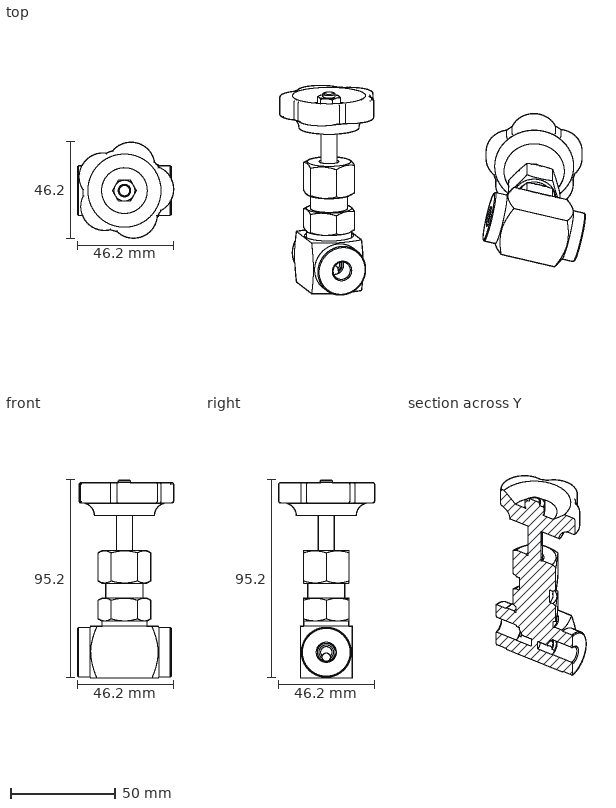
import cadquery as cq
import math


body_side = 25.0
body_length = 33.0
overall_length = 45.0
end_boss_diameter = 24.0
end_boss_chamfer = 0.5
corner_angle = 30.0
envelope_margin = 1.0

port_diameter = 8.57
port_mouth_diameter = 9.7
port_depth = 12.0
port_step_diameter = 7.0
port_step_depth = 1.5
drill_tip_diameter = 5.4
drill_tip_angle = 118.0
passage_diameter = 4.0
passage_drop = 2.4
passage_end = 2.0

body_top = body_side / 2
collar_diameter = 21.8
collar_recess_diameter = 23.5
bonnet_hex_bottom = 15.0
bonnet_hex_top = 26.0
bonnet_chamfer_diameter = 21.8
neck_diameter = 18.0
gland_hex_bottom = 33.0
gland_hex_top = 49.0
gland_chamfer_diameter = 21.0
hex_across_flats = 22.0
gland_mouth_diameter = 9.4

stem_diameter = 7.8
overall_height = 95.18
spindle_top = overall_height - body_top
thread_diameter = 6.0
thread_chamfer = 0.5

hub_bottom = 65.7
rim_bottom = 71.7
rim_top = 81.5
lobe_count = 5
lobe_radius = 11.5
lobe_offset = 12.24
lobe_rotation = 3.0
valley_radius = 20.0
rim_fillet = 1.0
hub_diameter = 29.0
hub_flare_radius = rim_bottom - hub_bottom
dish_top_diameter = 35.2
dish_floor_diameter = 22.0
dish_floor = 76.0

nut_across_flats = 10.0
nut_height = 5.0


def cylinder(diameter, bottom, top):
    """Upright cylinder on the spindle axis."""
    return cq.Workplane("XY").workplane(offset=bottom).circle(diameter / 2).extrude(top - bottom)


def cone(bottom_diameter, top_diameter, bottom, top):
    """Upright truncated cone on the spindle axis."""
    solid = cq.Solid.makeCone(
        bottom_diameter / 2, top_diameter / 2, top - bottom, pnt=cq.Vector(0, 0, bottom)
    )
    return cq.Workplane(solid)


def double_cone(face_diameter, outer_diameter, length):
    """Cylinder along Z, centred on the origin, with both ends coned by corner_angle."""
    face_radius = face_diameter / 2
    outer_radius = outer_diameter / 2
    half = length / 2
    drop = (outer_radius - face_radius) * math.tan(math.radians(corner_angle))
    return (
        cq.Workplane("XZ")
        .moveTo(0, -half)
        .lineTo(face_radius, -half)
        .lineTo(outer_radius, -half + drop)
        .lineTo(outer_radius, half - drop)
        .lineTo(face_radius, half)
        .lineTo(0, half)
        .close()
        .revolve(360, (0, 0, 0), (0, 1, 0))
    )


def chamfered_hex(across_flats, face_diameter, bottom, top):
    """Hexagon with two corners on the X axis and chamfered ends."""
    height = top - bottom
    across_corners = across_flats / math.cos(math.pi / 6)
    prism = cq.Workplane("XY").polygon(6, across_corners).extrude(height / 2, both=True)
    envelope = double_cone(face_diameter, across_corners + envelope_margin, height)
    return prism.intersect(envelope).translate((0, 0, (bottom + top) / 2))


def make_body():
    block = cq.Workplane("XY").box(body_length, body_side, body_side)
    corner_diameter = body_side * math.sqrt(2)
    envelope = double_cone(end_boss_diameter, corner_diameter + envelope_margin, body_length)
    block = block.intersect(envelope.rotate((0, 0, 0), (0, 1, 0), 90))
    ends = (
        cq.Workplane("YZ")
        .circle(end_boss_diameter / 2)
        .extrude(overall_length / 2, both=True)
        .faces("<X or >X")
        .chamfer(end_boss_chamfer)
    )
    return block.union(ends)


def make_port():
    """Cutter for the port on the -X end: bore, step, drill tip and offset passage."""
    mouth_x = -overall_length / 2
    bore_end = mouth_x + port_depth
    step_end = bore_end + port_step_depth
    bore_radius = port_diameter / 2
    mouth_radius = port_mouth_diameter / 2
    tip_radius = drill_tip_diameter / 2
    tip_length = tip_radius / math.tan(math.radians(drill_tip_angle / 2))
    bore = (
        cq.Workplane("XZ")
        .moveTo(mouth_x, 0)
        .lineTo(mouth_x, mouth_radius)
        .lineTo(mouth_x + mouth_radius - bore_radius, bore_radius)
        .lineTo(bore_end, bore_radius)
        .lineTo(bore_end, port_step_diameter / 2)
        .lineTo(step_end, port_step_diameter / 2)
        .lineTo(step_end, tip_radius)
        .lineTo(step_end + tip_length, 0)
        .close()
        .revolve(360, (0, 0, 0), (1, 0, 0))
    )
    passage = (
        cq.Workplane("YZ")
        .workplane(offset=bore_end)
        .center(0, -passage_drop)
        .circle(passage_diameter / 2)
        .extrude(-passage_end - bore_end)
    )
    return bore.union(passage)


def make_bonnet():
    collar = cylinder(collar_diameter, 0, bonnet_hex_bottom)
    bonnet_hex = chamfered_hex(
        hex_across_flats, bonnet_chamfer_diameter, bonnet_hex_bottom, bonnet_hex_top
    )
    neck = cylinder(neck_diameter, bonnet_hex_top, gland_hex_bottom)
    gland = chamfered_hex(hex_across_flats, gland_chamfer_diameter, gland_hex_bottom, gland_hex_top)
    mouth_depth = (gland_mouth_diameter - stem_diameter) / 2
    mouth = cone(stem_diameter, gland_mouth_diameter, gland_hex_top - mouth_depth, gland_hex_top)
    return collar.union(bonnet_hex).union(neck).union(gland.cut(mouth))


def make_collar_recess():
    """Countersink in the top of the body around the bonnet collar."""
    depth = (collar_recess_diameter - collar_diameter) / 2
    return cone(collar_diameter, collar_recess_diameter, body_top - depth, body_top)


def make_spindle():
    stem = cylinder(stem_diameter, bonnet_hex_top, dish_floor)
    thread = cylinder(thread_diameter, dish_floor, spindle_top).faces(">Z").chamfer(thread_chamfer)
    return stem.union(thread)


def rounded_disc(radius):
    """Disc of the rim's height with rounded edges."""
    return cylinder(2 * radius, rim_bottom, rim_top).faces("<Z or >Z").edges().fillet(rim_fillet)


def make_rim():
    rim = rounded_disc(valley_radius)
    for index in range(lobe_count):
        angle = math.radians(lobe_rotation + index * 360 / lobe_count)
        offset = (lobe_offset * math.cos(angle), lobe_offset * math.sin(angle), 0)
        rim = rim.union(rounded_disc(lobe_radius).translate(offset))
    return rim


def make_hub():
    """Hub that flares out through a concave arc to the underside of the rim."""
    hub_radius = hub_diameter / 2
    flare_centre = hub_radius + hub_flare_radius
    arc_middle = hub_flare_radius * math.sin(math.pi / 4)
    flare_end = valley_radius - rim_fillet
    end_rise = math.sqrt(hub_flare_radius**2 - (flare_centre - flare_end) ** 2)
    return (
        cq.Workplane("XZ")
        .moveTo(0, hub_bottom)
        .lineTo(hub_radius, hub_bottom)
        .threePointArc(
            (flare_centre - arc_middle, hub_bottom + arc_middle),
            (flare_end, hub_bottom + end_rise),
        )
        .lineTo(flare_end, dish_floor)
        .lineTo(0, dish_floor)
        .close()
        .revolve(360, (0, 0, 0), (0, 1, 0))
    )


def make_handwheel():
    dish = cone(dish_floor_diameter, dish_top_diameter, dish_floor, rim_top)
    nut = chamfered_hex(nut_across_flats, nut_across_flats, dish_floor, dish_floor + nut_height)
    return make_rim().union(make_hub()).cut(dish).union(nut)


port = make_port()
opposite_port = port.mirror("YZ")

result = (
    make_body()
    .cut(make_collar_recess())
    .union(make_bonnet())
    .cut(port)
    .cut(opposite_port)
    .union(make_spindle())
    .union(make_handwheel())
)